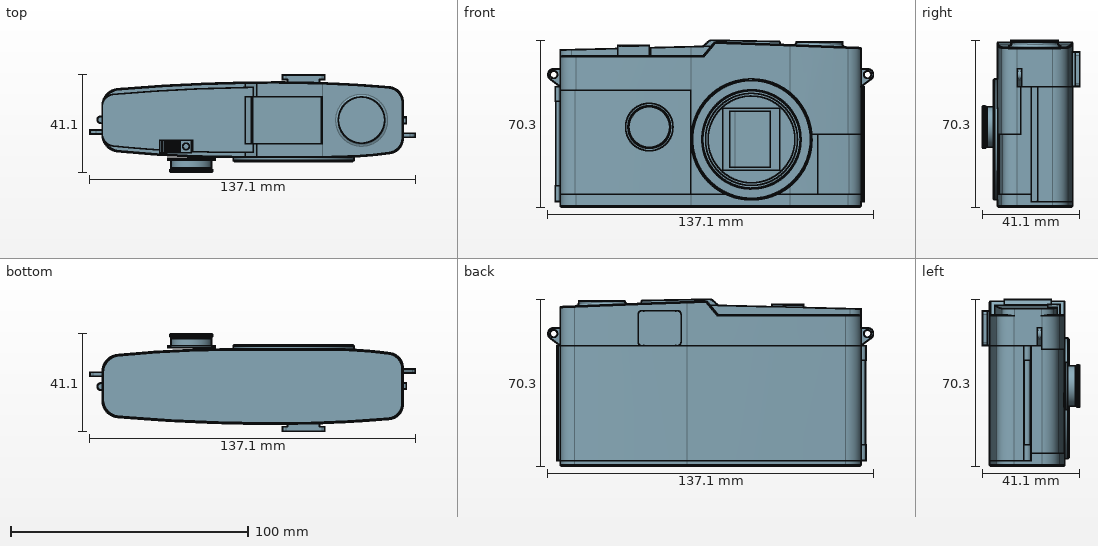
import cadquery as cq
import math


OVERALL_WIDTH = 137.1
BODY_WIDTH = 126.8
LEFT_X = -80.6
RIGHT_X = LEFT_X + BODY_WIDTH
BODY_DEPTH = 31.8
FRONT_FLAT = (-25.6, 16.0)
REAR_PEAK_X = -7.1
FRONT_LEFT_RADIUS = 479.8
FRONT_RIGHT_RADIUS = 178.2
REAR_LEFT_RADIUS = 781.4
REAR_RIGHT_RADIUS = 548.4
LEFT_CORNER = 7.4
RIGHT_CORNER = 6.6

TALL = 82.3
LEDGE_Z = 63.7
LEDGE_END_X = -20.3
HUMP_X = -15.5
HUMP_Z = 69.5
KINK_X = 12.0
KINK_Z = 68.5
RIGHT_Z = 67.2
LEFT_TOP_INSET = 2.2
LEFT_TOP_Z = 66.2
LEFT_TOP_END_Z = 67.9
TOP_CHAMFER = 0.4
BASE_CHAMFER = 0.5

PLATE_Y = (5.8, 25.6)
PLATE_X = -17.5
PLATE_Z = 70.3
PLATE_END_Z = 69.8

DIAL_X = 28.7
DIAL_Y = 15.8
DIAL_D = 19.5
DIAL_Z = 69.6
DIAL_FOOT = 1.2

SLIDER_X = (-56.3, -43.0)
SLIDER_Y = (2.0, 7.3)
SLIDER_Z = 68.1
SLIDER_GAP = 0.7
GROOVES = 7
GROOVE_X = -55.2
GROOVE_PITCH = 1.2
GROOVE_WIDTH = 0.5
GROOVE_DEPTH = 0.4
GROOVE_RIM = 0.4
DIMPLE_D = 2.7
DIMPLE_X = -45.2
DIMPLE_DEPTH = 0.8

EYEPIECE_X = 4.2
EYEPIECE_Z = (50.7, 65.4)
EYEPIECE_WIDTH = 18.0
NECK_WIDTH = 13.6
NECK_END_Y = 32.8
EYEPIECE_END_Y = 34.8
EYEPIECE_CORNER = 1.4

LUG_REACH = (OVERALL_WIDTH - BODY_WIDTH) / 2
LUG_R = 2.5
LUG_HOLE_D = 3.0
LUG_Z = 55.8
LUG_FOOT_Z = 50.7
LUG_THICKNESS = 1.8
LEFT_LUG_Y = 9.9
RIGHT_LUG_Y = 8.5

LENS_Z = 28.5
MOUNT_D = 51.0
MOUNT_FRONT_Y = -1.8
MOUNT_BACK_Y = 0.5
MOUNT_CHAMFER = 0.7
BOSS_D = 43.9
BORE_D = 41.0
BORE_END_Y = 4.4
BORE_CHAMFER = 0.4
LIP_D = 38.8
LIP_END_Y = 5.3
THROAT_D = 36.6
THROAT_END_Y = 7.3
CHAMBER_WIDTH = 24.0
CHAMBER_HEIGHT = 26.0
CHAMBER_END_Y = 24.7
GATE_X = (-9.2, 7.8)
GATE_HEIGHT = 23.6

SKIN = 2.0
SPLIT_Y = 14.3
PANEL_BASE_Z = 5.3
PANEL_RIGHT_Z = 30.7
PANEL_LEFT_Z = 49.2
PANEL_SIDE_Y = 9.9
PANEL_FLUSH = (-25.6, 28.0)
PANEL_RECESS = 0.4
DOOR_Z = (2.3, 50.7)
KNUCKLE_D = 3.0
HINGE_BARREL_D = 2.7
HINGE_REACH = 2.0
HINGE_GAP = 0.1
KNUCKLE_SPLITS = (9.0, 44.7)
LATCH_NECK_Y = (14.4, 16.9)
LATCH_NECK = 0.7
LATCH_PLATE_Y = (14.3, 17.1)
LATCH_REACH = 1.4

KNOB_X = -43.0
KNOB_Z = 33.7
KNOB_FLANGE_D = 20.0
KNOB_NECK_D = 17.1
KNOB_CAP_D = 18.0
KNOB_BACK_Y = -0.4
KNOB_FLANGE_Y = -1.2
KNOB_GROOVE_D = 16.7
KNOB_GROOVE_Y = -4.2
KNOB_CAP_Y = -4.8
KNOB_FRONT_Y = -6.3
KNOB_CHAMFER = 0.4


def block(x_range, y_range, z_range):
    """Box given by its limits along each axis."""
    size = [high - low for low, high in (x_range, y_range, z_range)]
    corner = (x_range[0], y_range[0], z_range[0])
    return cq.Workplane("XY").box(*size, centered=False).translate(corner)


def y_cylinder(x, z, diameter, y_start, y_end):
    """Round bar along Y."""
    bar = cq.Workplane("XZ").center(x, z).circle(diameter / 2).extrude(y_start - y_end)
    return bar.translate((0, y_start, 0))


def profile_block(points, y_range):
    """X-Z outline extruded along Y."""
    bar = cq.Workplane("XZ").polyline(points).close().extrude(y_range[0] - y_range[1])
    return bar.translate((0, y_range[0], 0))


def sag(distance, radius):
    """Drop of a circular arc at a distance from its tangent point."""
    return radius - math.sqrt(radius ** 2 - distance ** 2)


def body_prism(inset_x=0.0, inset_y=0.0):
    """Bowed body outline as a tall prism, with its ends and long faces moved inward."""
    left = LEFT_X + inset_x
    right = RIGHT_X - inset_x
    flat_left, flat_right = FRONT_FLAT

    def front(x):
        if x <= flat_left:
            return inset_y + sag(flat_left - x, FRONT_LEFT_RADIUS)
        return inset_y + sag(x - flat_right, FRONT_RIGHT_RADIUS)

    def rear(x):
        radius = REAR_LEFT_RADIUS if x < REAR_PEAK_X else REAR_RIGHT_RADIUS
        return BODY_DEPTH - inset_y - sag(x - REAR_PEAK_X, radius)

    def arc_to(sketch, face, start, end):
        middle = (start + end) / 2
        return sketch.threePointArc((middle, face(middle)), (end, face(end)))

    outline = cq.Workplane("XY").moveTo(left, front(left))
    outline = arc_to(outline, front, left, flat_left)
    outline = outline.lineTo(flat_right, inset_y)
    outline = arc_to(outline, front, flat_right, right)
    outline = outline.lineTo(right, rear(right))
    outline = arc_to(outline, rear, right, REAR_PEAK_X)
    outline = arc_to(outline, rear, REAR_PEAK_X, left)
    prism = outline.close().extrude(TALL)
    prism = prism.edges("|Z and <X").fillet(LEFT_CORNER - inset_y)
    return prism.edges("|Z and >X").fillet(RIGHT_CORNER - inset_y)


def body_shell():
    """Housing block: base, lowered left ledge, raised right side and inset left top."""
    depth = (0, BODY_DEPTH)
    outline = [
        (LEFT_X, 0),
        (RIGHT_X, 0),
        (RIGHT_X, RIGHT_Z),
        (KINK_X, KINK_Z),
        (HUMP_X, HUMP_Z),
        (LEDGE_END_X, LEDGE_Z),
        (LEFT_X, LEDGE_Z),
    ]
    shell = body_prism().intersect(profile_block(outline, depth))
    top_edges = [
        edge for edge in shell.edges("not |Y").vals() if edge.BoundingBox().zmin > LEDGE_Z - 0.1
    ]
    shell = shell.newObject(top_edges).chamfer(TOP_CHAMFER)
    shell = shell.faces("<Z").chamfer(BASE_CHAMFER)

    left_outline = [
        (LEFT_X, LEDGE_Z - 1.4),
        (LEDGE_END_X, LEDGE_Z - 1.4),
        (HUMP_X, LEFT_TOP_END_Z - 1.4),
        (HUMP_X, LEFT_TOP_END_Z),
        (LEFT_X, LEFT_TOP_Z),
    ]
    left_top = body_prism(inset_y=LEFT_TOP_INSET).intersect(profile_block(left_outline, depth))
    left_top = left_top.faces(">Z").edges("not |Y").chamfer(TOP_CHAMFER)
    slider_slot = (SLIDER_X[0], SLIDER_X[1] + SLIDER_GAP)
    left_top = left_top.cut(block(slider_slot, (0, SLIDER_Y[1]), (LEDGE_Z, TALL)))
    return shell.union(left_top)


def accessory_plate():
    """Raised plate over the hump, with a sloping left face."""
    outline = [
        (LEDGE_END_X, LEFT_TOP_END_Z - 1.4),
        (LEDGE_END_X, LEFT_TOP_END_Z),
        (PLATE_X, PLATE_Z),
        (KINK_X, PLATE_END_Z),
        (KINK_X, LEFT_TOP_END_Z - 1.4),
    ]
    plate = profile_block(outline, PLATE_Y)
    return plate.faces(">Z").edges("|Y").chamfer(TOP_CHAMFER)


def add_dial(body):
    """Dial on the sloping top, blended into it around its foot."""
    dial = cq.Workplane("XY", origin=(DIAL_X, DIAL_Y, RIGHT_Z - 1.4)).circle(DIAL_D / 2)
    body = body.union(dial.extrude(DIAL_Z - RIGHT_Z + 1.4))
    foot_edges = [
        edge
        for edge in body.edges("not %CIRCLE").vals()
        if abs(edge.Center().x - DIAL_X) < 1.4
        and abs(edge.Center().y - DIAL_Y) < 1.4
        and edge.Center().z > RIGHT_Z
        and edge.geomType() == "ELLIPSE"
    ]
    return body.newObject(foot_edges).fillet(DIAL_FOOT)


def slider():
    """Ribbed slider with a round dimple."""
    bar = block(SLIDER_X, SLIDER_Y, (LEDGE_Z - 0.7, SLIDER_Z))
    for index in range(GROOVES):
        x = GROOVE_X + index * GROOVE_PITCH
        groove_x = (x - GROOVE_WIDTH / 2, x + GROOVE_WIDTH / 2)
        groove_y = (SLIDER_Y[0] + GROOVE_RIM, SLIDER_Y[1] - GROOVE_RIM)
        bar = bar.cut(block(groove_x, groove_y, (SLIDER_Z - GROOVE_DEPTH, SLIDER_Z)))
    dimple_origin = (DIMPLE_X, sum(SLIDER_Y) / 2, SLIDER_Z)
    dimple = cq.Workplane("XY", origin=dimple_origin).circle(DIMPLE_D / 2).extrude(-DIMPLE_DEPTH)
    return bar.cut(dimple)


def eyepiece():
    """Viewfinder eyepiece: a neck with a wider rounded flange."""
    half_neck = NECK_WIDTH / 2
    half_flange = EYEPIECE_WIDTH / 2
    neck_x = (EYEPIECE_X - half_neck, EYEPIECE_X + half_neck)
    flange_x = (EYEPIECE_X - half_flange, EYEPIECE_X + half_flange)
    neck = block(neck_x, (BODY_DEPTH - SKIN, NECK_END_Y), EYEPIECE_Z)
    flange = block(flange_x, (NECK_END_Y, EYEPIECE_END_Y), EYEPIECE_Z)
    return neck.union(flange.edges("|Y").fillet(EYEPIECE_CORNER))


def strap_lug(side_x, direction, y):
    """Pierced lug on one end of the body, pointing along the given X direction."""
    center_x = side_x + direction * (LUG_REACH - LUG_R)
    root_x = side_x - direction * SKIN
    y_end = y + LUG_THICKNESS
    diagonal = LUG_R * math.sqrt(0.5)
    web = [
        (root_x, LUG_Z + LUG_R),
        (center_x, LUG_Z + LUG_R),
        (center_x + direction * diagonal, LUG_Z - diagonal),
        (side_x, LUG_FOOT_Z),
        (root_x, LUG_FOOT_Z),
    ]
    lug = profile_block(web, (y, y_end)).union(y_cylinder(center_x, LUG_Z, 2 * LUG_R, y, y_end))
    return lug.cut(y_cylinder(center_x, LUG_Z, LUG_HOLE_D, y, y_end))


def mount_disc():
    """Lens mount flange standing on the front."""
    disc = y_cylinder(0, LENS_Z, MOUNT_D, MOUNT_FRONT_Y, MOUNT_BACK_Y)
    return disc.faces("<Y").chamfer(MOUNT_CHAMFER)


def lens_opening():
    """Stepped lens bore, film chamber and film gate."""
    opening = y_cylinder(0, LENS_Z, BORE_D, MOUNT_FRONT_Y, BORE_END_Y)
    entry_y = (MOUNT_FRONT_Y - BORE_CHAMFER, MOUNT_FRONT_Y + BORE_CHAMFER)
    entry = y_cylinder(0, LENS_Z, BORE_D + 2 * BORE_CHAMFER, *entry_y)
    opening = opening.union(entry.faces(">Y").chamfer(BORE_CHAMFER))
    opening = opening.union(y_cylinder(0, LENS_Z, LIP_D, BORE_END_Y, LIP_END_Y))
    opening = opening.union(y_cylinder(0, LENS_Z, THROAT_D, LIP_END_Y, THROAT_END_Y))
    half_width = CHAMBER_WIDTH / 2
    half_height = CHAMBER_HEIGHT / 2
    half_gate = GATE_HEIGHT / 2
    chamber = block(
        (-half_width, half_width),
        (THROAT_END_Y, CHAMBER_END_Y),
        (LENS_Z - half_height, LENS_Z + half_height),
    )
    gate = block(GATE_X, (CHAMBER_END_Y, BODY_DEPTH - SKIN), (LENS_Z - half_gate, LENS_Z + half_gate))
    return opening.union(chamber).union(gate)


def panel_space():
    """Space in the front skin that the panel fills."""
    everywhere = (LEFT_X, RIGHT_X)
    space = block(everywhere, (0, SPLIT_Y), (PANEL_BASE_Z, PANEL_RIGHT_Z))
    left_part = block((LEFT_X, PANEL_FLUSH[0]), (0, SPLIT_Y), (PANEL_BASE_Z, PANEL_LEFT_Z))
    side_parts = block(everywhere, (PANEL_SIDE_Y, SPLIT_Y), (PANEL_BASE_Z, DOOR_Z[1]))
    space = space.union(left_part).union(side_parts)
    space = space.intersect(body_prism()).cut(body_prism(SKIN, SKIN))
    boss = y_cylinder(0, LENS_Z, BOSS_D, 0, SPLIT_Y)
    return space.cut(boss).cut(mount_disc())


def door_space():
    """Skin of the rear half of the body, filled by the door."""
    space = block((LEFT_X, RIGHT_X), (SPLIT_Y, BODY_DEPTH), DOOR_Z)
    return space.intersect(body_prism()).cut(body_prism(SKIN, SKIN))


def make_housing():
    body = add_dial(body_shell())
    body = body.union(accessory_plate()).union(slider()).union(eyepiece())
    body = body.cut(panel_space()).cut(door_space())
    body = body.union(mount_disc()).cut(lens_opening())
    body = body.union(strap_lug(LEFT_X, -1, LEFT_LUG_Y))
    return body.union(strap_lug(RIGHT_X, 1, RIGHT_LUG_Y))


def make_front_panel():
    """Wraparound front panel, set back on both sides of the lens."""
    removed = body_prism().cut(body_prism(inset_y=PANEL_RECESS))
    flush = block(PANEL_FLUSH, (-1.4, SPLIT_Y), (0, TALL))
    return panel_space().cut(removed.cut(flush))


def hinge_knuckle(diameter, z_range):
    """One length of the hinge: a round bar with a square front root into the door."""
    x = LEFT_X - HINGE_REACH + KNUCKLE_D / 2
    y = SPLIT_Y + HINGE_GAP + KNUCKLE_D / 2
    bar = cq.Workplane("XY", origin=(x, y, z_range[0])).circle(diameter / 2)
    bar = bar.extrude(z_range[1] - z_range[0])
    return bar.union(block((x, LEFT_X + SKIN), (y - diameter / 2, y), z_range))


def make_back_door():
    """Door skin with its hinge on the left and its latch on the right."""
    door = door_space()
    splits = (DOOR_Z[0], *KNUCKLE_SPLITS, DOOR_Z[1])
    diameters = (KNUCKLE_D, HINGE_BARREL_D, KNUCKLE_D)
    for z_range, diameter in zip(zip(splits, splits[1:]), diameters):
        door = door.union(hinge_knuckle(diameter, z_range))
    neck_end = RIGHT_X + LATCH_NECK
    neck = block((RIGHT_X - SKIN, neck_end), LATCH_NECK_Y, DOOR_Z)
    plate = block((neck_end, RIGHT_X + LATCH_REACH), LATCH_PLATE_Y, DOOR_Z)
    return door.union(neck).union(plate)


def make_knob():
    """Round knob standing clear of the front panel."""
    flange = y_cylinder(KNOB_X, KNOB_Z, KNOB_FLANGE_D, KNOB_FLANGE_Y, KNOB_BACK_Y)
    neck = y_cylinder(KNOB_X, KNOB_Z, KNOB_NECK_D, KNOB_GROOVE_Y, KNOB_FLANGE_Y)
    groove = y_cylinder(KNOB_X, KNOB_Z, KNOB_GROOVE_D, KNOB_CAP_Y, KNOB_GROOVE_Y)
    cap = y_cylinder(KNOB_X, KNOB_Z, KNOB_CAP_D, KNOB_FRONT_Y, KNOB_CAP_Y)
    return flange.union(neck).union(groove).union(cap.edges().chamfer(KNOB_CHAMFER))


housing = make_housing()
front_panel = make_front_panel()
back_door = make_back_door()
knob = make_knob()

result = cq.Compound.makeCompound(
    [housing.val(), front_panel.val(), back_door.val(), knob.val()]
)